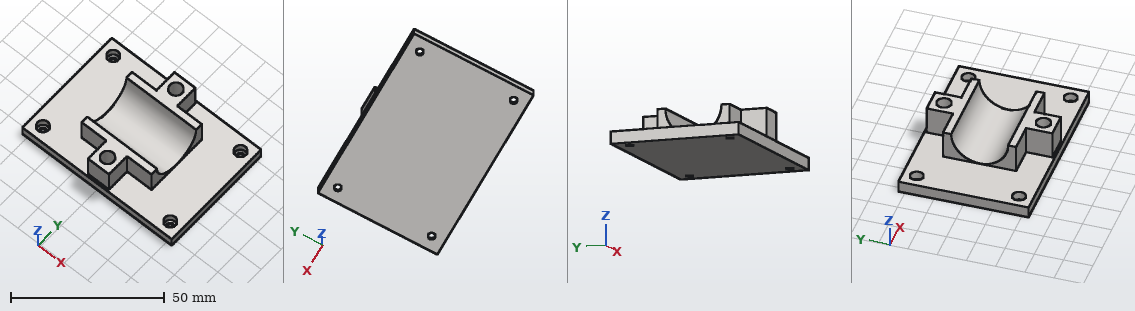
import cadquery as cq

plate_length = 64.25
plate_width = 44.5
plate_thickness = 4.1

screw_spacing_x = 54.75
screw_spacing_y = 34.95
screw_diameter = 2.4
screw_head_diameter = 4.5
screw_head_depth = 3.0

total_height = 14.0
saddle_height = total_height - plate_thickness
saddle_length = 30.0
saddle_width = 25.0
cradle_diameter = 19.45

ear_length = 9.0
ear_span = 43.0
ear_hole_spacing = 34.0
ear_hole_diameter = 5.0
ear_hole_depth = saddle_height


def make_plate():
    """Base plate resting on Z = 0 with four counterbored holes."""
    plate = cq.Workplane("XY").box(
        plate_length, plate_width, plate_thickness, centered=(True, True, False)
    )
    return (
        plate.faces(">Z")
        .workplane()
        .rect(screw_spacing_x, screw_spacing_y, forConstruction=True)
        .vertices()
        .cboreHole(screw_diameter, screw_head_diameter, screw_head_depth)
    )


def make_saddle():
    """Cross-shaped block standing on the plate, before its holes are cut."""
    base = cq.Workplane("XY").workplane(offset=plate_thickness)
    body = base.rect(saddle_length, saddle_width).extrude(saddle_height)
    ears = base.rect(ear_length, ear_span).extrude(saddle_height)
    cradle = (
        cq.Workplane("YZ", origin=(-saddle_length / 2, 0, 0))
        .center(0, total_height)
        .circle(cradle_diameter / 2)
        .extrude(saddle_length)
    )
    return body.union(ears).cut(cradle)


def make_ear_holes():
    """Cutters for the blind holes in the top of the ears."""
    return (
        cq.Workplane("XY")
        .workplane(offset=total_height)
        .pushPoints([(0, side * ear_hole_spacing / 2) for side in (-1, 1)])
        .circle(ear_hole_diameter / 2)
        .extrude(-ear_hole_depth)
    )


result = make_plate().union(make_saddle()).cut(make_ear_holes())